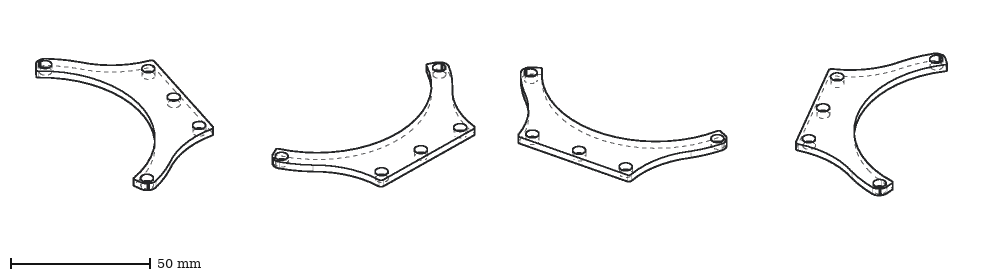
import cadquery as cq
import math

thickness = 3.0
inner_radius = 41.0
outer_radius = 48.6
top_y = 58.0
top_half_width = 23.5
top_corner_radius = 1.2

flank_middle = (25.3, 48.4)
flank_foot_angle = math.radians(44.5)

arm_end_angle = math.radians(25.7)
arm_outer_corner_radius = 3.6
arm_inner_corner_radius = 0.7

hole_diameter = 4.7
top_hole_spacing = 19.45
top_hole_inset = 4.0
top_hole_y = top_y - top_hole_inset
arm_hole_radius = 45.0
arm_hole_angle = math.radians(30)

slit_width = 0.5
slit_tilt = 19
slit_length = 5.1


def on_circle(radius, angle):
    """Point at the given radius and angle about the ring centre."""
    return (radius * math.cos(angle), radius * math.sin(angle))


def mirrored(point):
    return (-point[0], point[1])


def make_plate():
    top_corner = (top_half_width, top_y)
    flank_foot = on_circle(outer_radius, flank_foot_angle)
    outer_middle = on_circle(outer_radius, (flank_foot_angle + arm_end_angle) / 2)
    outer_tip = on_circle(outer_radius, arm_end_angle)
    inner_tip = on_circle(inner_radius, arm_end_angle)
    plate = (
        cq.Workplane("XY")
        .moveTo(*mirrored(top_corner))
        .lineTo(*top_corner)
        .threePointArc(flank_middle, flank_foot)
        .threePointArc(outer_middle, outer_tip)
        .lineTo(*inner_tip)
        .threePointArc((0, inner_radius), mirrored(inner_tip))
        .lineTo(*mirrored(outer_tip))
        .threePointArc(mirrored(outer_middle), mirrored(flank_foot))
        .threePointArc(mirrored(flank_middle), mirrored(top_corner))
        .close()
        .extrude(thickness)
    )
    corner_radii = (
        (top_corner, top_corner_radius),
        (outer_tip, arm_outer_corner_radius),
        (inner_tip, arm_inner_corner_radius),
    )
    for corner, radius in corner_radii:
        for x, y in (corner, mirrored(corner)):
            edge = cq.selectors.NearestToPointSelector((x, y, thickness / 2))
            plate = plate.edges("|Z").edges(edge).fillet(radius)
    return plate


def make_holes():
    arm_hole = on_circle(arm_hole_radius, arm_hole_angle)
    centres = [(x, top_hole_y) for x in (-top_hole_spacing, 0, top_hole_spacing)]
    centres += [arm_hole, mirrored(arm_hole)]
    return cq.Workplane("XY").pushPoints(centres).circle(hole_diameter / 2).extrude(thickness)


def make_slits():
    """Slits running outwards and slightly down from the arm hole centres."""
    right_slit = (
        cq.Workplane("XY")
        .rect(slit_length, slit_width)
        .extrude(thickness)
        .translate((slit_length / 2, 0, 0))
        .rotate((0, 0, 0), (0, 0, 1), -slit_tilt)
        .translate((*on_circle(arm_hole_radius, arm_hole_angle), 0))
    )
    return right_slit.union(right_slit.mirror("YZ"))


result = make_plate().cut(make_holes()).cut(make_slits())